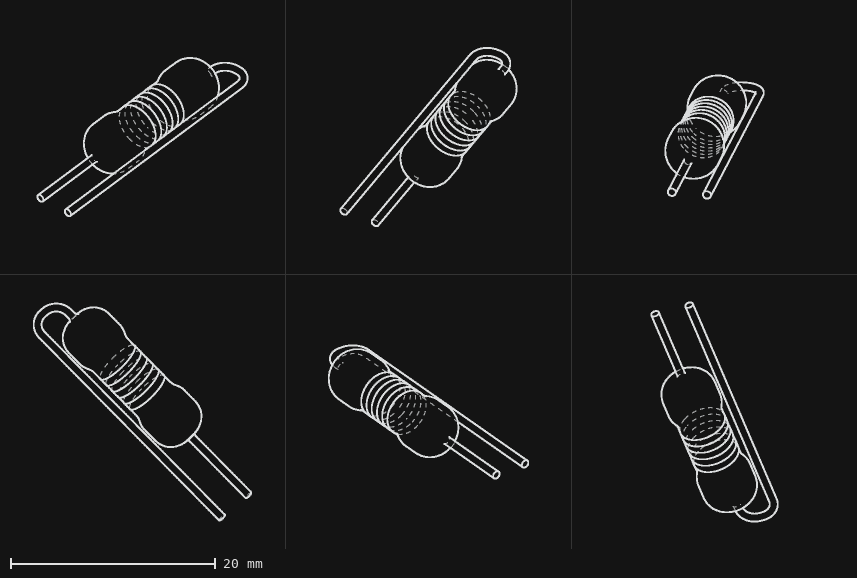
import cadquery as cq
import math


lead_diameter = 0.8
lead_pitch = 3.5
bend_radius = 1.6
overall_length = 28.1
lead_radius = lead_diameter / 2
bend_start_y = overall_length - lead_radius - bend_radius
bend_bridge = lead_pitch - 2 * bend_radius

body_center_y = 16.85
cuff_radius = 5.5 / 2
core_radius = 4.67 / 2
band_radius = 4.7 / 2
core_length = 6.0
cuff_length = 1.7
dome_radius = 1.95
collar_fillet = 0.55
shoulder_length = 0.75
neck_length = 0.86

band_count = 3
band_width = core_length / (2 * band_count + 1)

neck_half_angle = math.atan((cuff_radius - core_radius) / (shoulder_length + neck_length))
shoulder_radius = shoulder_length / math.sin(2 * neck_half_angle)
neck_radius = neck_length / math.sin(2 * neck_half_angle)

core_end = core_length / 2
shoulder_start = core_end + neck_length
cuff_start = shoulder_start + shoulder_length
dome_start = cuff_start + cuff_length

dome_center_x = cuff_radius - dome_radius
collar_center_x = lead_radius + collar_fillet
collar_tilt = math.asin((collar_center_x - dome_center_x) / (dome_radius + collar_fillet))
collar_end = dome_start + (dome_radius + collar_fillet) * math.cos(collar_tilt)


def arc_point(center, radius, angle):
    """Point on a circle, with the angle in radians from +X."""
    return (center[0] + radius * math.cos(angle), center[1] + radius * math.sin(angle))


def make_half_body():
    """Half of the body, from its middle at Y = 0 to the +Y collar."""
    dome_center = (dome_center_x, dome_start)
    collar_center = (collar_center_x, collar_end)
    shoulder_center = (cuff_radius - shoulder_radius, cuff_start)
    neck_center = (core_radius + neck_radius, core_end)
    dome_end_angle = math.pi / 2 - collar_tilt
    collar_start_angle = math.pi + dome_end_angle

    profile = (
        cq.Workplane("XY")
        .lineTo(core_radius, 0)
        .lineTo(core_radius, core_end)
        .threePointArc(
            arc_point(neck_center, neck_radius, math.pi - neck_half_angle),
            arc_point(neck_center, neck_radius, math.pi - 2 * neck_half_angle),
        )
        .threePointArc(
            arc_point(shoulder_center, shoulder_radius, -neck_half_angle),
            (cuff_radius, cuff_start),
        )
        .lineTo(cuff_radius, dome_start)
        .threePointArc(
            arc_point(dome_center, dome_radius, dome_end_angle / 2),
            arc_point(dome_center, dome_radius, dome_end_angle),
        )
        .threePointArc(
            arc_point(collar_center, collar_fillet, (collar_start_angle + math.pi) / 2),
            (lead_radius, collar_end),
        )
        .lineTo(0, collar_end)
        .close()
    )
    return profile.revolve(360, (0, 0), (0, 1))


def make_cylinder(radius, start_y, length):
    """Cylinder on the body axis, growing toward +Y."""
    return cq.Workplane("XZ", origin=(0, start_y, 0)).circle(radius).extrude(-length)


def make_body():
    half = make_half_body()
    body = half.union(half.mirror("XZ")).translate((0, body_center_y, 0))
    for i in range(band_count):
        band_start = body_center_y - core_end + (2 * i + 1) * band_width
        body = body.union(make_cylinder(band_radius, band_start, band_width))
    return body


def make_straight_lead():
    return make_cylinder(lead_radius, 0, body_center_y - collar_end)


def make_bent_lead():
    """Lead that leaves the +Y collar and folds back beside the body."""
    start_y = body_center_y + collar_end
    bend_top_y = bend_start_y + bend_radius
    path = (
        cq.Workplane("XY")
        .moveTo(0, start_y)
        .lineTo(0, bend_start_y)
        .radiusArc((bend_radius, bend_top_y), bend_radius)
        .lineTo(bend_radius + bend_bridge, bend_top_y)
        .radiusArc((lead_pitch, bend_start_y), bend_radius)
        .lineTo(lead_pitch, 0)
    )
    return cq.Workplane("XZ", origin=(0, start_y, 0)).circle(lead_radius).sweep(path)


result = make_body().union(make_straight_lead()).union(make_bent_lead())